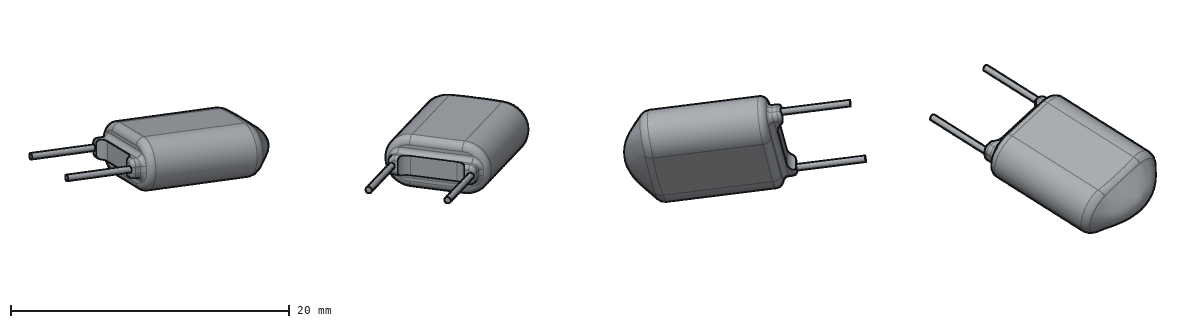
import cadquery as cq
import math

body_width = 8.0
body_thickness = 4.0
total_length = 17.0
lead_length = 5.0
lead_diameter = 0.5
lead_spacing = 6.0
body_bottom = 1.0
bottom_round = 0.6
dome_height = 2.0
shoulder_round = 0.8
crown_radius = 4.6
crown_shares = (-0.75, -0.5, -0.25, 0, 0.25, 0.5, 0.75)
flank_half_thickness = 0.99
flank_drop = 0.61

collar_width = 6.7
collar_thickness = 1.5
collar_corner_round = 0.51
foot_round = 0.3
collar_flare = 0.39
notch_depth = 0.51
notch_flat_half = 1.77
notch_foot_half = 2.53
overlap = 0.85
selection_margin = 0.02

crown_top = total_length - lead_length
rim = crown_top - dome_height


def crown_drop(x):
    """Fall of the circular crown arc below its apex, at X = x."""
    return crown_radius - math.sqrt(crown_radius**2 - x**2)


def domed_body():
    """Slot-shaped body closed by a smooth dome that follows the crown arc and flanks."""
    plain = (
        cq.Workplane("XZ", origin=(0, body_bottom, 0))
        .slot2D(body_width, body_thickness)
        .extrude(body_bottom - rim)
    )
    walls = plain.faces(">Y").edges().vals()
    crown_points = [
        cq.Vector(x, crown_top - crown_drop(x), 0)
        for x in (share * body_width / 2 for share in crown_shares)
    ]
    flank_points = [
        cq.Vector(0, crown_top - flank_drop, side * flank_half_thickness)
        for side in (-1, 1)
    ]
    dome = cq.Face.makeNSidedSurface(walls, crown_points + flank_points)
    faces = plain.faces("not >Y").vals()
    solid = cq.Solid.makeSolid(cq.Shell.makeShell(faces + [dome]))
    body = cq.Workplane(solid.fix())
    rim_box = cq.selectors.BoxSelector(
        (-body_width, rim - selection_margin, -body_width),
        (body_width, rim + selection_margin, body_width),
        boundingbox=True,
    )
    body = body.edges(rim_box).fillet(shoulder_round)
    return body.faces("<Y").edges().fillet(bottom_round)


def collar():
    """Rounded block under the body, notched between the two lead feet."""
    block = (
        cq.Workplane("XY")
        .box(collar_width, body_bottom + overlap, collar_thickness, centered=(True, False, True))
        .edges("|Y").fillet(collar_corner_round)
        .faces("<Y").edges().fillet(foot_round)
    )
    run = notch_foot_half - notch_flat_half
    radius = (run**2 + notch_depth**2) / (2 * notch_depth)
    half_angle = math.asin(run / radius) / 2
    mid_x = notch_flat_half + radius * math.sin(half_angle)
    mid_y = notch_depth - radius * (1 - math.cos(half_angle))
    notch = (
        cq.Workplane("XY")
        .moveTo(-notch_foot_half, 0)
        .threePointArc((-mid_x, mid_y), (-notch_flat_half, notch_depth))
        .lineTo(notch_flat_half, notch_depth)
        .threePointArc((mid_x, mid_y), (notch_foot_half, 0))
        .close()
        .extrude(collar_thickness, both=True)
    )
    return block.cut(notch)


def leads():
    """Two round wires leaving the collar feet."""
    return (
        cq.Workplane("XZ", origin=(0, body_bottom, 0))
        .pushPoints([(-lead_spacing / 2, 0), (lead_spacing / 2, 0)])
        .circle(lead_diameter / 2)
        .extrude(body_bottom + lead_length)
    )


housing = domed_body().union(collar())
joint_zone = cq.selectors.BoxSelector(
    (-body_width, body_bottom - selection_margin, -collar_thickness),
    (body_width, body_bottom + bottom_round, collar_thickness),
    boundingbox=True,
)
housing = housing.edges(joint_zone).fillet(collar_flare)
result = housing.union(leads())